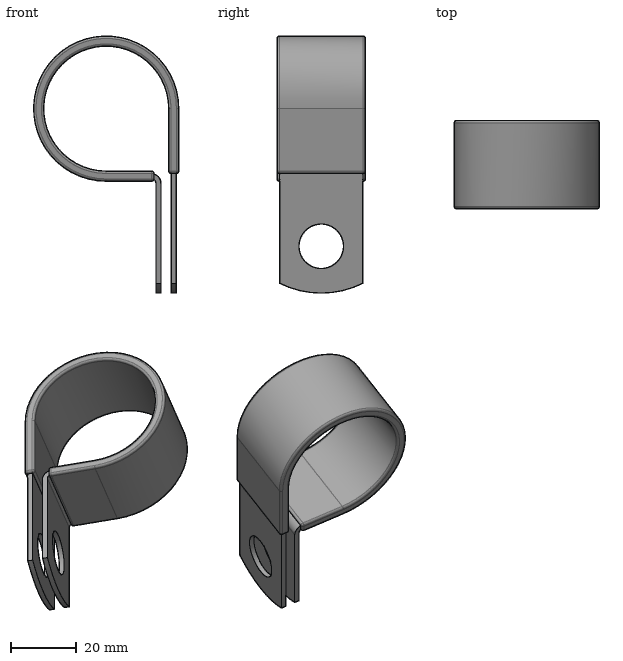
import cadquery as cq
import math

loop_diameter = 44.35
total_height = 78.5
cushion_width = 27.0
cushion_wall = 0.8
strap_thickness = 1.6
cushion_round = 0.745
upright_end_z = -19.8
shelf_end_x = 14.6
bend_inner_radius = 1.4
front_tab_x = 16.7
hole_diameter = 13.5
hole_z = -42.0
tab_corner_z = -53.3

DIAGONAL = math.sqrt(0.5)

loop_radius = loop_diameter / 2
strap_width = cushion_width - 2 * cushion_wall
cushion_thickness = strap_thickness + 2 * cushion_wall
strap_outer = loop_radius - cushion_wall
tab_end_z = loop_radius - total_height
bend_outer_radius = bend_inner_radius + strap_thickness


def extrude_centered(sketch, width):
    """Extrude an XZ outline by half the width to each side of Y = 0."""
    return sketch.extrude(width / 2, both=True)


def open_loop(outer, thickness, shelf_x, upright_z, width):
    """Three-quarter ring with a leg along +X at the bottom and a leg down at the right."""
    inner = outer - thickness
    outline = (
        cq.Workplane("XZ")
        .moveTo(shelf_x, -outer)
        .lineTo(0, -outer)
        .threePointArc((-outer * DIAGONAL, outer * DIAGONAL), (outer, 0))
        .lineTo(outer, upright_z)
        .lineTo(inner, upright_z)
        .lineTo(inner, 0)
        .threePointArc((-inner * DIAGONAL, inner * DIAGONAL), (0, -inner))
        .lineTo(shelf_x, -inner)
        .close()
    )
    return extrude_centered(outline, width)


def bent_tab():
    """Quarter bend leaving the horizontal leg, followed by the hanging tab."""
    center_x = front_tab_x - bend_outer_radius
    center_z = -strap_outer - bend_inner_radius
    top_z = center_z + bend_outer_radius

    def on_bend(radius):
        return (center_x + radius * DIAGONAL, center_z + radius * DIAGONAL)

    outline = (
        cq.Workplane("XZ")
        .moveTo(center_x, top_z)
        .threePointArc(on_bend(bend_outer_radius), (front_tab_x, center_z))
        .lineTo(front_tab_x, tab_end_z)
        .lineTo(front_tab_x - strap_thickness, tab_end_z)
        .lineTo(front_tab_x - strap_thickness, center_z)
        .threePointArc(on_bend(bend_inner_radius), (center_x, -strap_outer))
        .close()
    )
    return extrude_centered(outline, strap_width)


def tab_profile():
    """Round-ended tab silhouette with its bolt hole, as a block across X."""
    half = strap_width / 2
    silhouette = (
        cq.Workplane("YZ")
        .moveTo(-half, loop_radius)
        .lineTo(-half, tab_corner_z)
        .threePointArc((0, tab_end_z), (half, tab_corner_z))
        .lineTo(half, loop_radius)
        .close()
        .extrude(loop_radius)
    )
    hole = cq.Workplane("YZ").center(0, hole_z).circle(hole_diameter / 2).extrude(loop_radius)
    return silhouette.cut(hole)


def rounded_cushion():
    """Cushion loop with its two ends and both rims rounded."""
    cushion = open_loop(loop_radius, cushion_thickness, shelf_end_x, upright_end_z, cushion_width)
    end_region = cq.selectors.BoxSelector(
        (shelf_end_x - cushion_round, -cushion_width, -loop_radius - cushion_wall),
        (loop_radius + cushion_wall, cushion_width, upright_end_z + cushion_thickness),
    )
    rounded_ends = cushion.edges("|Y").edges(end_region).fillet(cushion_round)
    return rounded_ends.faces("<Y or >Y").edges().fillet(cushion_round)


upright_tab = (
    cq.Workplane("XY")
    .box(strap_thickness, strap_width, -tab_end_z, centered=(False, True, False))
    .translate((strap_outer - strap_thickness, 0, tab_end_z))
)
tabs = upright_tab.union(bent_tab()).intersect(tab_profile())

result = rounded_cushion().union(tabs)